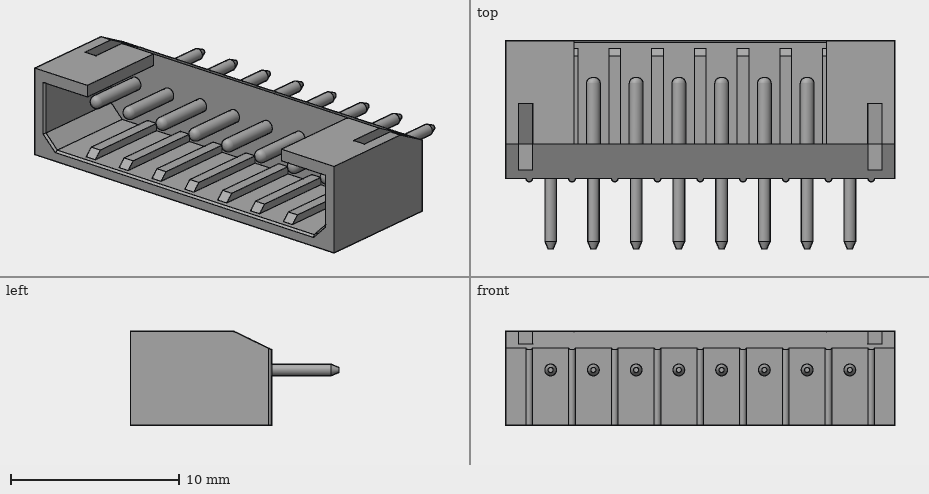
import cadquery as cq
body_width = 23.14
body_depth = 8.2
body_height = 5.6
half_width = body_width / 2

slope_depth = 2.05
slope_drop = 1.0

front_wall = slope_depth
side_wall = 0.77
floor_thickness = 0.7
roof_thickness = 0.75
corner_chamfer = 0.87
mouth_chamfer = 0.13
cavity_half_width = half_width - side_wall
cavity_floor_half_width = cavity_half_width - corner_chamfer
cavity_roof = body_height - roof_thickness

roof_opening_width = 15.0

slot_width = 0.84
slot_start = 0.45
slot_end = 4.45
slot_center_x = cavity_half_width - slot_width / 2

pin_count = 8
pitch = 2.54
pin_height = 3.3
tail_diameter = 0.7
tail_length = 4.2
tail_taper_length = 0.47
tail_tip_diameter = 0.3
contact_diameter = 0.82
contact_end = 6.0
contact_tip_radius = 0.35

rib_width = 0.7
rib_height = 0.47
rib_rear_gap = 0.46
rib_end = body_depth - rib_rear_gap

ridge_radius = 0.2


def spaced_positions(count):
    """X positions of a row of features at contact pitch, centred on X = 0."""
    return [(i - (count - 1) / 2) * pitch for i in range(count)]


def box_between(x0, x1, y0, y1, z0, z1):
    """Axis-aligned box between two corners."""
    return cq.Workplane("XY").box(x1 - x0, y1 - y0, z1 - z0, centered=False).translate((x0, y0, z0))


def extrude_side_profile(points, width):
    """Extrude a (Y, Z) outline along X, centred on X = 0."""
    return cq.Workplane("YZ").polyline(points).close().extrude(width / 2, both=True)


def make_shell():
    """Block with one front ridge on each side of every contact and a sloped top edge."""
    shell = box_between(-half_width, half_width, 0, body_depth, 0, body_height)
    for x in spaced_positions(pin_count + 1):
        ridge = cq.Workplane("XY").center(x, 0).circle(ridge_radius).extrude(body_height)
        shell = shell.union(ridge)

    overrun = 1.0
    drop_at_overrun = slope_drop * (slope_depth + overrun) / slope_depth
    wedge = extrude_side_profile(
        [
            (slope_depth, body_height),
            (-overrun, body_height - drop_at_overrun),
            (-overrun, body_height),
        ],
        body_width,
    )
    return shell.cut(wedge)


def cavity_outline():
    """Outline of the cavity on the rear face, with sloped lower corners."""
    corner_top = floor_thickness + corner_chamfer
    return (
        cq.Workplane("XZ", origin=(0, body_depth, 0))
        .polyline(
            [
                (-cavity_floor_half_width, floor_thickness),
                (cavity_floor_half_width, floor_thickness),
                (cavity_half_width, corner_top),
                (cavity_half_width, cavity_roof),
                (-cavity_half_width, cavity_roof),
                (-cavity_half_width, corner_top),
            ]
        )
        .close()
    )


def make_cavity():
    """Rear cavity with a mouth lead-in everywhere below the roof."""
    cavity = cavity_outline().extrude(body_depth - front_wall)
    lead_in = cavity_outline().offset2D(mouth_chamfer, "intersection").extrude(mouth_chamfer, taper=45)
    below_roof = box_between(-half_width, half_width, 0, body_depth, 0, cavity_roof)
    return cavity.union(lead_in.intersect(below_roof))


def make_roof_cuts():
    """Wide roof opening plus the two key slots."""
    half_opening = roof_opening_width / 2
    cuts = box_between(-half_opening, half_opening, front_wall, body_depth, cavity_roof, body_height)
    for center_x in (-slot_center_x, slot_center_x):
        slot = box_between(
            center_x - slot_width / 2,
            center_x + slot_width / 2,
            slot_start,
            slot_end,
            cavity_roof,
            body_height,
        )
        cuts = cuts.union(slot)
    return cuts


def make_rib(x):
    """Floor rib with a 45 degree ramp at its rear end."""
    rib_top = floor_thickness + rib_height
    rib = extrude_side_profile(
        [
            (front_wall, 0),
            (rib_end, 0),
            (rib_end, floor_thickness),
            (rib_end - rib_height, rib_top),
            (front_wall, rib_top),
        ],
        rib_width,
    )
    return rib.translate((x, 0, 0))


def make_pin(x):
    """Contact with a rounded inner end and a tapered solder tail, revolved about its axis."""
    contact_radius = contact_diameter / 2
    tail_radius = tail_diameter / 2
    wall_middle = front_wall / 2
    round_start = contact_end - contact_tip_radius
    flat_radius = contact_radius - contact_tip_radius
    arc_offset = contact_tip_radius * 0.5 ** 0.5
    pin = (
        cq.Workplane("XY")
        .moveTo(0, -tail_length)
        .lineTo(tail_tip_diameter / 2, -tail_length)
        .lineTo(tail_radius, -tail_length + tail_taper_length)
        .lineTo(tail_radius, wall_middle)
        .lineTo(contact_radius, wall_middle)
        .lineTo(contact_radius, round_start)
        .threePointArc((flat_radius + arc_offset, round_start + arc_offset), (flat_radius, contact_end))
        .lineTo(0, contact_end)
        .close()
        .revolve(360, (0, 0, 0), (0, 1, 0))
    )
    return pin.translate((x, 0, pin_height))


housing = make_shell().cut(make_cavity()).cut(make_roof_cuts())

for rib_x in spaced_positions(pin_count - 1):
    housing = housing.union(make_rib(rib_x))

for pin_x in spaced_positions(pin_count):
    housing = housing.union(make_pin(pin_x))

result = housing